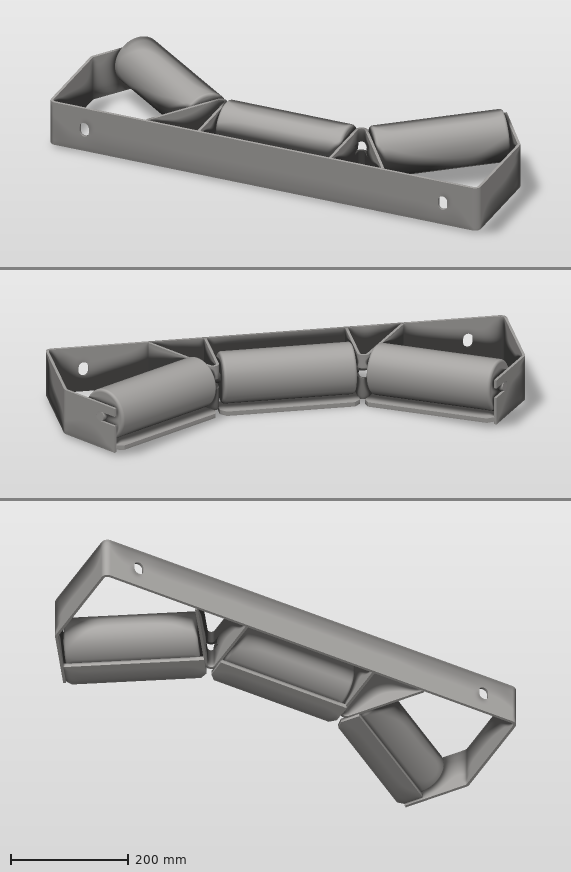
import cadquery as cq
import math

frame_width = 800.0
sheet_height = 82.0
sheet = 5.0
bend_inner = 6.0
bend_outer = bend_inner + sheet
flange_corner_y = 176.0
flange_length = 116.0
mount_slot_x = 334.0
mount_slot_width = 17.0
mount_slot_height = 26.0

trough_angle = 35.0
forward_tilt = 2.3
roller_radius = 45.0
roller_length = 230.0
roller_fillet = 5.0
shaft_diameter = 18.0
support_gap = 240.0
shaft_length = support_gap + 2 * sheet
axis_y = 100.0
axis_z = 7.0

guard_length = 243.0
guard_thickness = 8.0
guard_chamfer = 10.0

bracket_top_y = 128.0
bend_x = support_gap / 2 + bend_outer
bend_y = bracket_top_y - bend_outer

cos_a = math.cos(math.radians(trough_angle))
sin_a = math.sin(math.radians(trough_angle))
sin_tilt = math.sin(math.radians(forward_tilt))

flange_bend_x = frame_width / 2 - bend_outer
bracket_face = bend_x * cos_a + bend_y * sin_a + bend_outer
flange_face = flange_bend_x * cos_a + flange_corner_y * sin_a + bend_inner
side_along = (bracket_face + flange_face) / 2
side_across = 2.0
side_x = side_along * cos_a - side_across * sin_a
side_y = side_along * sin_a + side_across * cos_a
side_z = axis_z + support_gap / 2 * sin_tilt


def idler_plane(center, angle, tilt):
    """Plane with its X on the idler axis, its Y across it and its Z upward."""
    a = math.radians(angle)
    t = math.radians(tilt)
    along = (math.cos(t) * math.cos(a), math.cos(t) * math.sin(a), math.sin(t))
    up = (-math.sin(t) * math.cos(a), -math.sin(t) * math.sin(a), math.cos(t))
    return cq.Plane(origin=center, xDir=along, normal=up)


idler_planes = [
    idler_plane((0, axis_y, axis_z), 0, 0),
    idler_plane((side_x, side_y, side_z), trough_angle, forward_tilt),
    idler_plane((-side_x, side_y, side_z), -trough_angle, -forward_tilt),
]


def shaft_rod(length):
    """Round bar of the shaft's diameter, centred on the origin along X."""
    return cq.Workplane("YZ").workplane(offset=-length / 2).circle(shaft_diameter / 2).extrude(length)


def make_idler(plane):
    """Roller with rounded ends and its shaft, along the X of the plane."""
    roller = (
        cq.Workplane("YZ").workplane(offset=-roller_length / 2)
        .circle(roller_radius).extrude(roller_length)
        .edges().fillet(roller_fillet)
    )
    return roller.union(shaft_rod(shaft_length)).val().located(cq.Location(plane))


def make_guard(plane):
    """Flat plate tangent to the roller's underside, straight below its centre, covering its +Y half."""
    drop = roller_radius / plane.zDir.z
    top_plane = cq.Plane(origin=plane.origin - cq.Vector(0, 0, drop), xDir=plane.xDir, normal=plane.zDir)
    return (
        cq.Workplane(top_plane)
        .center(0, roller_radius / 2)
        .rect(guard_length, roller_radius)
        .extrude(-guard_thickness)
        .faces(cq.selectors.DirectionMinMaxSelector(plane.yDir, True))
        .edges(cq.selectors.ParallelDirSelector(plane.zDir))
        .chamfer(guard_chamfer)
        .val()
    )


def make_shaft_slot(plane):
    """Cutter for the open slots that hold one shaft, running through the sheet's free end."""
    length = shaft_length + 2 * bend_inner
    opening = cq.Workplane("XY").box(length, roller_radius, shaft_diameter, centered=(True, False, True))
    return shaft_rod(length).union(opening).val().located(cq.Location(plane))


def make_frame():
    """Base strip with side legs and inclined end flanges, bent from one sheet."""
    half = frame_width / 2
    bend_to = (half - bend_outer + bend_outer * cos_a, flange_corner_y + bend_outer * sin_a)
    tip = (bend_to[0] - flange_length * sin_a, bend_to[1] + flange_length * cos_a)
    inner_tip = (tip[0] - sheet * cos_a, tip[1] - sheet * sin_a)
    inner_bend = (bend_to[0] - sheet * cos_a, bend_to[1] - sheet * sin_a)
    half_bend = math.radians(trough_angle / 2)
    cos_45 = math.cos(math.radians(45))

    def on_bend(radius):
        """Middle of the bend between side leg and flange."""
        return (flange_bend_x + radius * math.cos(half_bend), flange_corner_y + radius * math.sin(half_bend))

    def on_corner(radius):
        """Middle of the bend between base and side leg."""
        return (flange_bend_x + radius * cos_45, bend_outer - radius * cos_45)

    half_frame = (
        cq.Workplane("XY").workplane(offset=-sheet_height / 2)
        .moveTo(0, 0)
        .lineTo(flange_bend_x, 0)
        .threePointArc(on_corner(bend_outer), (half, bend_outer))
        .lineTo(half, flange_corner_y)
        .threePointArc(on_bend(bend_outer), bend_to)
        .lineTo(*tip)
        .lineTo(*inner_tip)
        .lineTo(*inner_bend)
        .threePointArc(on_bend(bend_inner), (half - sheet, flange_corner_y))
        .lineTo(half - sheet, bend_outer)
        .threePointArc(on_corner(bend_inner), (flange_bend_x, sheet))
        .lineTo(0, sheet)
        .close()
        .extrude(sheet_height)
    )
    frame = half_frame.union(half_frame.mirror("YZ"))
    mount_slots = (
        cq.Workplane("XZ")
        .pushPoints([(-mount_slot_x, 0), (mount_slot_x, 0)])
        .slot2D(mount_slot_height, mount_slot_width, 90)
        .extrude(-sheet)
    )
    return frame.cut(mount_slots)


def make_bracket():
    """Strip standing on the base: upright leg, bend, and a leg sloping back down, on the +X side."""
    upright_inner = bend_x - bend_outer
    slope_length = (bend_y + bend_inner * sin_a - sheet) / cos_a
    outer_top = (bend_x + bend_outer * cos_a, bend_y + bend_outer * sin_a)
    inner_top = (bend_x + bend_inner * cos_a, bend_y + bend_inner * sin_a)
    outer_foot = (outer_top[0] + slope_length * sin_a, outer_top[1] - slope_length * cos_a)
    inner_foot = (inner_top[0] + slope_length * sin_a, inner_top[1] - slope_length * cos_a)
    return (
        cq.Workplane("XY").workplane(offset=-sheet_height / 2)
        .moveTo(upright_inner, sheet)
        .lineTo(upright_inner, bend_y)
        .threePointArc((bend_x, bend_y + bend_outer), outer_top)
        .lineTo(*outer_foot)
        .lineTo(*inner_foot)
        .lineTo(*inner_top)
        .threePointArc((bend_x, bend_y + bend_inner), (bend_x - bend_inner, bend_y))
        .lineTo(bend_x - bend_inner, sheet)
        .close()
        .extrude(sheet_height)
    )


def fit_to_idlers(support):
    """Cut the shaft slots and the recesses for the guard plates into a sheet support."""
    for cutter in shaft_slots + guards:
        support = support.cut(cq.Workplane(cutter))
    return support.val()


idlers = [make_idler(plane) for plane in idler_planes]
guards = [make_guard(plane) for plane in idler_planes]
shaft_slots = [make_shaft_slot(plane) for plane in idler_planes]

right_bracket = make_bracket()
frame = fit_to_idlers(make_frame())
brackets = [fit_to_idlers(bracket) for bracket in (right_bracket, right_bracket.mirror("YZ"))]

result = cq.Compound.makeCompound([frame, *brackets, *idlers, *guards])